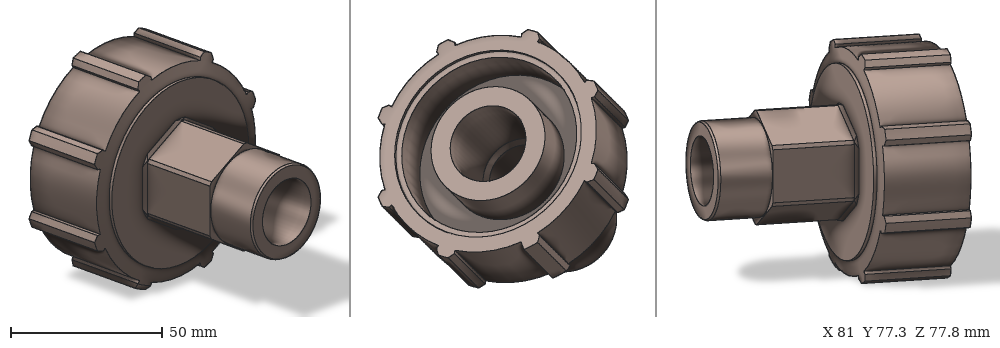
import cadquery as cq
import math

total_length = 81.0
nut_edge_x = 30.4
nut_back_x = 31.1
flange_end_x = 32.3
flare_length = 1.2
hex_end_x = 62.1
cavity_depth = 18.95
mouth_depth = 1.2

nut_radius = 38.1
flange_radius = 65.6 / 2
mouth_radius = 65.6 / 2
cavity_radius = 61.5 / 2
tube_radius = 40.0 / 2
bore_front_radius = 26.6 / 2
bore_back_radius = 23.25 / 2
bore_cone_start_x = flange_end_x
bore_cone_length = bore_front_radius - bore_back_radius
spigot_radius = 33.2 / 2
spigot_chamfer_length = 0.8
spigot_chamfer_height = 0.4

hex_flats = 34.0
hex_flare = 1.0
hex_corner_radius = 19.2
flare_clip_radius = 39.1 / 2

rib_count = 8
rib_pitch = 360 / rib_count
rib_tip_radius = 41.1
rib_tip_half_width = 1.9
rib_shoulder_radius = 39.05
rib_half_width = 3.4
rib_base_half_width = 3.15
rib_root_radius = 34.8
square_rib_half_width = 3.3
square_rib_chamfer = 1.9
square_rib_angle = 270 - rib_pitch / 2


def back_cone_x(radius):
    """X position of the shallow cone on the back of the nut."""
    slope = (nut_back_x - nut_edge_x) / (nut_radius - flange_radius)
    return nut_edge_x - slope * (radius - nut_radius)


def revolve(points):
    """Turn a closed (x, radius) outline around the X axis."""
    return cq.Workplane("XY").polyline(points).close().revolve(360, (0, 0, 0), (1, 0, 0))


def cylinder(start, end, radius):
    return cq.Workplane("YZ", origin=(start, 0, 0)).circle(radius).extrude(end - start)


def make_rib(tip_half_width, angle):
    """Rib along X, placed at an angle from +Y towards +Z.

    A standard tip width gives two bevelled corners; a wider tip leaves its second corner square.
    """
    def tip_point(width):
        return math.sqrt(rib_tip_radius**2 - width**2), width

    outline = (
        cq.Workplane("YZ")
        .moveTo(rib_root_radius, -rib_base_half_width)
        .lineTo(nut_radius, -rib_base_half_width)
        .lineTo(rib_shoulder_radius, -rib_half_width)
        .lineTo(*tip_point(-rib_tip_half_width))
        .threePointArc((rib_tip_radius, 0), tip_point(tip_half_width))
    )
    if tip_half_width == rib_tip_half_width:
        outline = outline.lineTo(rib_shoulder_radius, rib_half_width)
    outline = outline.lineTo(nut_radius, rib_base_half_width).lineTo(rib_root_radius, rib_base_half_width)
    return outline.close().extrude(nut_back_x).rotate((0, 0, 0), (1, 0, 0), angle)


def make_nut():
    envelope = revolve([
        (0, 0),
        (0, rib_tip_radius),
        (back_cone_x(rib_tip_radius), rib_tip_radius),
        (nut_back_x, flange_radius),
        (nut_back_x, 0),
    ])
    nut = cylinder(0, nut_back_x, nut_radius)
    for index in range(rib_count):
        angle = rib_pitch * (index + 0.5)
        if angle != square_rib_angle:
            nut = nut.union(make_rib(rib_tip_half_width, angle))

    square_rib_end = back_cone_x(rib_shoulder_radius)
    square_rib_envelope = revolve([
        (0, 0),
        (0, rib_tip_radius),
        (square_rib_end - square_rib_chamfer, rib_tip_radius),
        (square_rib_end, rib_tip_radius - square_rib_chamfer),
        (nut_back_x, flange_radius),
        (nut_back_x, 0),
    ])
    square_rib = make_rib(square_rib_half_width, square_rib_angle).intersect(square_rib_envelope)
    return nut.union(square_rib).intersect(envelope)


def hexagon(x, across_flats):
    corner_diameter = across_flats / math.cos(math.pi / 6)
    plane = cq.Plane(origin=(x, 0, 0), xDir=(0, 0, 1), normal=(1, 0, 0))
    return cq.Workplane(plane).polygon(6, corner_diameter)


def make_hex():
    length = hex_end_x - flange_end_x
    body = hexagon(flange_end_x, hex_flats).extrude(length)
    corner_trim = (
        hexagon(flange_end_x, 2 * hex_corner_radius).extrude(length).rotate((0, 0, 0), (1, 0, 0), 30)
    )
    flare = (
        hexagon(flange_end_x, hex_flats + 2 * hex_flare)
        .workplane(offset=flare_length)
        .polygon(6, hex_flats / math.cos(math.pi / 6))
        .loft(ruled=True)
        .intersect(cylinder(flange_end_x, flange_end_x + flare_length, flare_clip_radius))
    )
    return body.intersect(corner_trim).union(flare)


def make_spigot():
    return revolve([
        (flange_end_x, 0),
        (flange_end_x, spigot_radius),
        (total_length - spigot_chamfer_length, spigot_radius),
        (total_length, spigot_radius - spigot_chamfer_height),
        (total_length, 0),
    ])


cavity = cylinder(0, cavity_depth, cavity_radius).union(cylinder(0, mouth_depth, mouth_radius))
cavity = cavity.cut(cylinder(0, cavity_depth, tube_radius))

bore = revolve([
    (0, 0),
    (0, bore_front_radius),
    (bore_cone_start_x, bore_front_radius),
    (bore_cone_start_x + bore_cone_length, bore_back_radius),
    (total_length, bore_back_radius),
    (total_length, 0),
])

result = (
    make_nut()
    .union(cylinder(nut_back_x, flange_end_x, flange_radius))
    .union(make_hex())
    .union(make_spigot())
    .cut(cavity)
    .cut(bore)
)